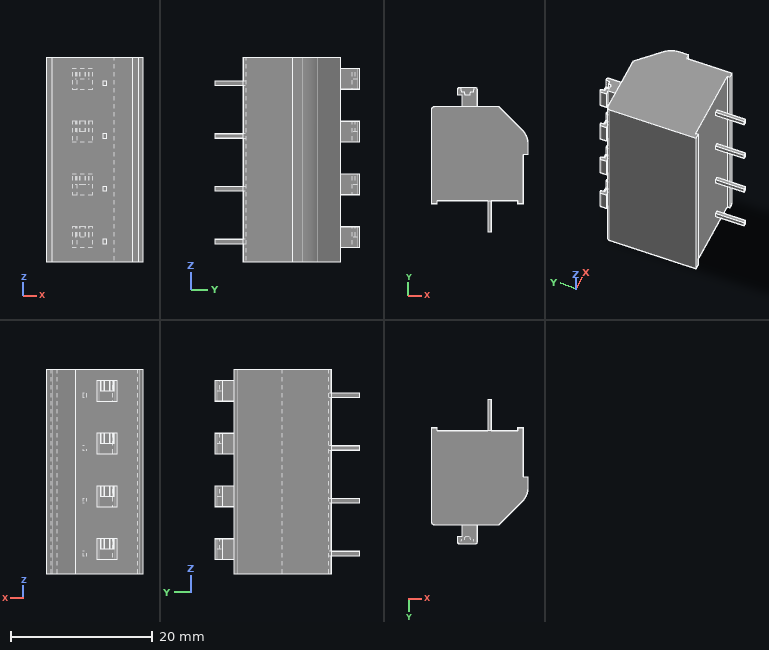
import cadquery as cq

housing_length = 29.0
housing_width = 13.75
housing_depth = 13.8
lip_overhang = 0.7
lip_underside = 7.0
slope_start = 9.6
slope_blend_radius = 3.0
corner_radius = 0.5
foot_width = 0.8
foot_height = 0.4

pole_count = 4
pole_pitch = 7.48

button_x = 3.7
button_width = 2.8
button_height = 3.0
button_rise = 2.7
button_first_z = 2.03
button_hook_width = 0.6
button_hook_depth = 1.1
button_corner_radius = 0.3

recess_upper_depth = 0.6
recess_total_depth = 1.07
recess_mouth_half_width = 0.95
recess_shelf_half_width = 0.85
recess_slot_half_width = 0.44
recess_floor_half_width = 0.35
recess_length = button_height / 2

pin_center_x = 8.26
pin_width = 0.5
pin_height = 0.7
pin_length = 4.0
pin_first_z = 2.9


def make_housing():
    side_x = housing_width - lip_overhang
    slope_end_y = housing_depth - (housing_width - slope_start)
    profile = [
        (0, 0),
        (foot_width, 0),
        (foot_width, foot_height),
        (side_x - foot_width, foot_height),
        (side_x - foot_width, 0),
        (side_x, 0),
        (side_x, lip_underside),
        (housing_width, lip_underside),
        (housing_width, slope_end_y),
        (slope_start, housing_depth),
        (0, housing_depth),
    ]
    body = cq.Workplane("XY").polyline(profile).close().extrude(housing_length)
    blend_edge = cq.selectors.NearestToPointSelector((housing_width, slope_end_y, housing_length / 2))
    body = body.edges(blend_edge).fillet(slope_blend_radius)
    flat_side_edge = cq.selectors.NearestToPointSelector((0, housing_depth, housing_length / 2))
    return body.edges(flat_side_edge).fillet(corner_radius)


def make_button(bottom_z):
    face_y = housing_depth + button_rise
    hook_y = face_y - button_hook_depth
    right_x = button_x + button_width
    neck_x = button_x + button_hook_width
    outline = [
        (neck_x, housing_depth),
        (right_x, housing_depth),
        (right_x, face_y),
        (button_x, face_y),
        (button_x, hook_y),
        (neck_x, hook_y),
    ]
    button = cq.Workplane("XY", origin=(0, 0, bottom_z)).polyline(outline).close().extrude(button_height)
    button = button.faces(">Y").edges("|Z").fillet(button_corner_radius)

    center_x = button_x + button_width / 2
    half_outline = [
        (recess_mouth_half_width, 0),
        (recess_shelf_half_width, -recess_upper_depth),
        (recess_slot_half_width, -recess_upper_depth),
        (recess_floor_half_width, -recess_total_depth),
    ]
    mirrored_outline = [(-x, y) for x, y in reversed(half_outline)]
    recess_origin = (center_x, face_y, bottom_z + button_height - recess_length)
    recess = (
        cq.Workplane("XY", origin=recess_origin)
        .polyline(half_outline + mirrored_outline)
        .close()
        .extrude(recess_length)
    )
    return button.cut(recess)


def make_pin(center_z):
    return (
        cq.Workplane("XZ", origin=(pin_center_x, foot_height, center_z))
        .rect(pin_width, pin_height)
        .extrude(foot_height + pin_length)
    )


result = make_housing()
for pole in range(pole_count):
    pole_offset = pole * pole_pitch
    result = result.union(make_button(button_first_z + pole_offset))
    result = result.union(make_pin(pin_first_z + pole_offset))